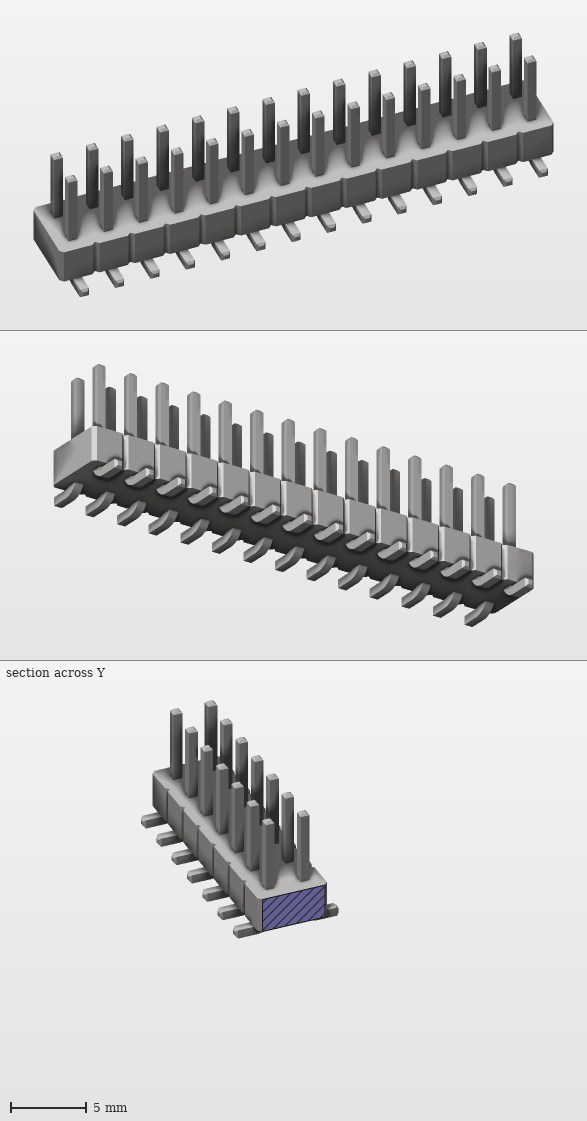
import cadquery as cq


PIN_COUNT = 14
PITCH = 2.54
ROW_SPACING = PITCH

TOTAL_WIDTH = 7.54
TOTAL_HEIGHT = 8.54

BODY_LENGTH = PIN_COUNT * PITCH
BODY_WIDTH = 2 * PITCH
BODY_HEIGHT = PITCH
CORNER = PITCH / 10

PIN_SIZE = 0.64
BEND_INNER_RADIUS = PIN_SIZE
FOOT_CLEARANCE = 0.12
TIP_LENGTH = 0.16
TIP_INSET = PIN_SIZE / 4

BODY_BOTTOM = PIN_SIZE + FOOT_CLEARANCE


def make_body():
    """Row of bevelled segments, leaving a V notch on both sides between neighbours."""
    half_width = BODY_WIDTH / 2
    half_length = BODY_LENGTH / 2
    right_side = []
    for i in range(PIN_COUNT):
        start = i * PITCH - half_length
        end = start + PITCH
        right_side += [
            (half_width - CORNER, start),
            (half_width, start + CORNER),
            (half_width, end - CORNER),
        ]
    right_side.append((half_width - CORNER, half_length))
    left_side = [(-x, y) for x, y in reversed(right_side)]
    return (
        cq.Workplane("XY")
        .workplane(offset=BODY_BOTTOM)
        .polyline(right_side + left_side)
        .close()
        .extrude(BODY_HEIGHT)
    )


def make_tip(plane):
    """Truncated pyramid standing on the given plane."""
    end_size = PIN_SIZE - 2 * TIP_INSET
    return (
        cq.Workplane(plane)
        .rect(PIN_SIZE, PIN_SIZE)
        .workplane(offset=TIP_LENGTH)
        .rect(end_size, end_size)
        .loft(ruled=True)
    )


def make_pin():
    """Pin of the +X row at Y = 0: a foot pointing to +X, a round bend and an upright post."""
    post_x = ROW_SPACING / 2
    foot_end = TOTAL_WIDTH / 2 - TIP_LENGTH
    post_end = TOTAL_HEIGHT - TIP_LENGTH
    bend_radius = BEND_INNER_RADIUS + PIN_SIZE / 2
    foot_z = PIN_SIZE / 2

    path = (
        cq.Workplane("XZ")
        .moveTo(foot_end, foot_z)
        .lineTo(post_x + bend_radius, foot_z)
        .radiusArc((post_x, foot_z + bend_radius), bend_radius)
        .lineTo(post_x, post_end)
    )
    foot_plane = cq.Plane(origin=(foot_end, 0, foot_z), xDir=(0, 1, 0), normal=(1, 0, 0))
    post_plane = cq.Plane(origin=(post_x, 0, post_end), xDir=(1, 0, 0), normal=(0, 0, 1))
    bar = cq.Workplane(foot_plane).rect(PIN_SIZE, PIN_SIZE).sweep(path)
    return bar.union(make_tip(foot_plane)).union(make_tip(post_plane))


def add_pins(body):
    """Join a mirrored pair of pins to every segment of the body."""
    right_pin = make_pin()
    left_pin = right_pin.mirror("YZ")
    for i in range(PIN_COUNT):
        y = (i - (PIN_COUNT - 1) / 2) * PITCH
        for pin in (right_pin, left_pin):
            body = body.union(pin.translate((0, y, 0)))
    return body


result = add_pins(make_body())